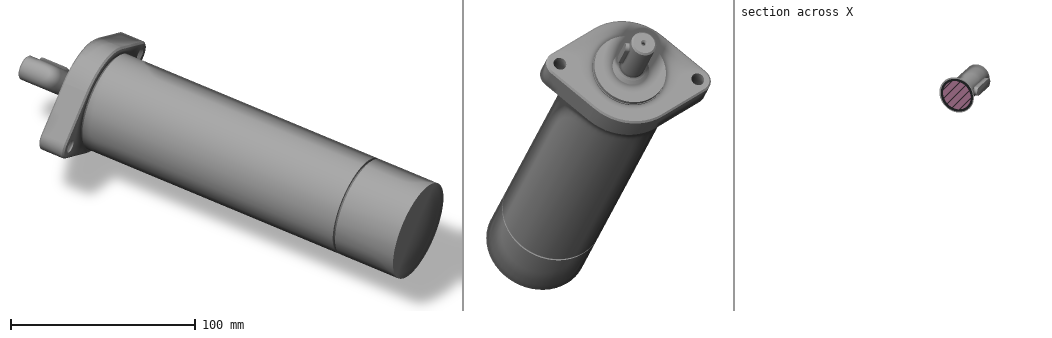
import cadquery as cq
import math

collar_start = 28.2
collar_lip = 29.0
collar_rim = 30.5
pilot_face = 32.0
pilot_step_start = 34.1
flange_front = 34.9
flange_back = 50.5
body_start = 52.0
groove_start = 208.0
groove_width = 1.5
total_length = 245.5

shaft_diameter = 14.0
collar_lip_diameter = 16.7
collar_diameter = 20.4
collar_neck_diameter = 18.0
pilot_diameter = 40.0
pilot_step_diameter = 40.8
neck_diameter = 52.8
body_diameter = 56.0

shaft_chamfer = 1.0
countersink_diameter = 3.7
countersink_depth = 1.0
center_hole_diameter = 1.7
center_hole_depth = 3.0

flange_height = 62.0
flange_width = 92.0
hole_offset = 38.5
hole_diameter = 7.0
flange_chamfer = 1.0

key_start = 5.0
key_length = 18.5
key_width = 5.0
key_top = 9.0
key_bottom = 4.2


def cylinder(diameter, start, end):
    """Solid cylinder on the motor axis between two stations."""
    return cq.Workplane("YZ", origin=(start, 0, 0)).circle(diameter / 2).extrude(end - start)


def make_shaft():
    """Output shaft with a chamfered tip and a countersunk center hole."""
    shaft = cylinder(shaft_diameter, 0, flange_front).faces("<X").chamfer(shaft_chamfer)
    countersink = (
        cq.Workplane("YZ")
        .circle(countersink_diameter / 2)
        .workplane(offset=countersink_depth)
        .circle(center_hole_diameter / 2)
        .loft()
    )
    center_hole = cylinder(center_hole_diameter, 0, center_hole_depth)
    return shaft.cut(countersink).cut(center_hole)


def make_collar():
    """Shaft seal with two flared stages and a narrower neck behind its rim."""
    profile = [
        (collar_start, 0),
        (collar_start, shaft_diameter / 2),
        (collar_lip, collar_lip_diameter / 2),
        (collar_rim, collar_diameter / 2),
        (collar_rim, collar_neck_diameter / 2),
        (pilot_face, collar_neck_diameter / 2),
        (pilot_face, 0),
    ]
    return cq.Workplane("XY").polyline(profile).close().revolve(360, (0, 0, 0), (1, 0, 0))


def make_key():
    """Round-ended key standing out of the +Y side of the shaft."""
    return (
        cq.Workplane("XZ", origin=(key_start + key_length / 2, key_top, 0))
        .slot2D(key_length, key_width)
        .extrude(key_top - key_bottom)
    )


def make_flange():
    """Rhombic flange: a large round joined by tangent lines to two small ears."""
    main_radius = flange_height / 2
    ear_radius = flange_width / 2 - hole_offset
    tangent_angle = math.acos((main_radius - ear_radius) / hole_offset)
    main_y = main_radius * math.cos(tangent_angle)
    main_z = main_radius * math.sin(tangent_angle)
    ear_y = hole_offset + ear_radius * math.cos(tangent_angle)
    ear_z = ear_radius * math.sin(tangent_angle)
    flange = (
        cq.Workplane("YZ", origin=(flange_front, 0, 0))
        .moveTo(-main_y, main_z)
        .threePointArc((0, main_radius), (main_y, main_z))
        .lineTo(ear_y, ear_z)
        .threePointArc((flange_width / 2, 0), (ear_y, -ear_z))
        .lineTo(main_y, -main_z)
        .threePointArc((0, -main_radius), (-main_y, -main_z))
        .lineTo(-ear_y, -ear_z)
        .threePointArc((-flange_width / 2, 0), (-ear_y, ear_z))
        .close()
        .extrude(flange_back - flange_front)
        .faces("<X or >X")
        .chamfer(flange_chamfer)
    )
    holes = (
        cq.Workplane("YZ", origin=(flange_front, 0, 0))
        .pushPoints([(-hole_offset, 0), (hole_offset, 0)])
        .circle(hole_diameter / 2)
        .extrude(flange_back - flange_front)
    )
    return flange.cut(holes)


def make_housing():
    """Stepped pilot boss, flange, neck behind the flange, and the grooved motor body."""
    pilot = cylinder(pilot_diameter, pilot_face, flange_front)
    pilot_step = cylinder(pilot_step_diameter, pilot_step_start, flange_front)
    core = cylinder(neck_diameter, flange_back, total_length)
    gearbox = cylinder(body_diameter, body_start, groove_start)
    motor = cylinder(body_diameter, groove_start + groove_width, total_length)
    return pilot.union(pilot_step).union(make_flange()).union(core).union(gearbox).union(motor)


result = make_housing().union(make_collar()).union(make_shaft()).union(make_key())